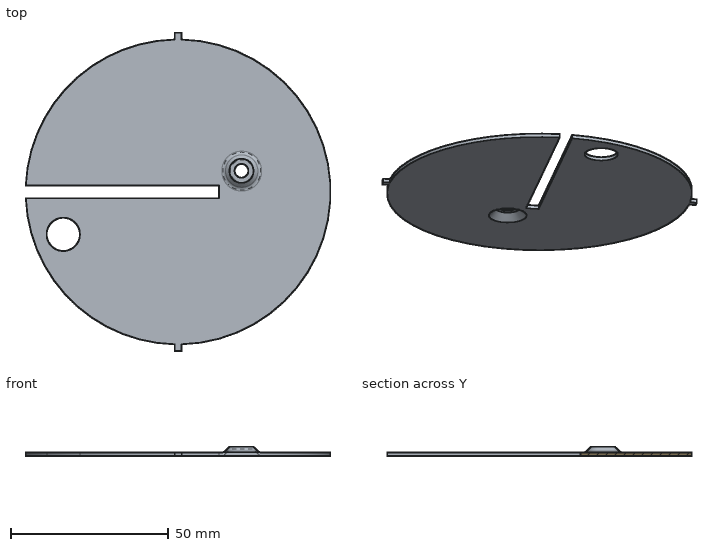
import cadquery as cq
import math

disc_radius = 48.5
plate_thickness = 1.2
overall_height = 3.0

tab_width = 2.2
tab_span = 101.3

slot_width = 4.0
slot_end_x = 13.0

round_hole_diameter = 10.5
round_hole_center = (-36.5, -13.5)

boss_center = (20.15, 6.7)
boss_top_radius = 3.85
boss_hole_diameter = 4.3
boss_foot_radius = 6.35
boss_flank_angle = math.radians(45)
boss_wall = 0.6
flank_base_radius = boss_top_radius + (overall_height - plate_thickness) / math.tan(boss_flank_angle)
flare_radius = (boss_foot_radius - flank_base_radius) / math.tan(boss_flank_angle / 2)


def make_plate():
    disc = cq.Workplane("XY").circle(disc_radius).extrude(plate_thickness)
    tabs = cq.Workplane("XY").rect(tab_width, tab_span).extrude(plate_thickness)
    return disc.union(tabs)


def revolve_about_boss_axis(profile):
    return (
        profile.close()
        .revolve(360, (0, 0, 0), (0, 1, 0))
        .translate((*boss_center, 0))
    )


def make_boss():
    """Revolved cone whose foot runs into the plate through a tangent arc."""
    flare_end = (
        boss_foot_radius - flare_radius * math.sin(boss_flank_angle),
        plate_thickness + flare_radius * (1 - math.cos(boss_flank_angle)),
    )
    flare_middle = (
        boss_foot_radius - flare_radius * math.sin(boss_flank_angle / 2),
        plate_thickness + flare_radius * (1 - math.cos(boss_flank_angle / 2)),
    )
    profile = (
        cq.Workplane("XZ")
        .lineTo(0, overall_height)
        .lineTo(boss_top_radius, overall_height)
        .lineTo(*flare_end)
        .threePointArc(flare_middle, (boss_foot_radius, plate_thickness))
        .lineTo(boss_foot_radius, 0)
    )
    return revolve_about_boss_axis(profile)


def make_boss_cavity():
    """Conical hollow under the boss, parallel to the flank one wall thickness inside it."""
    ceiling_z = overall_height - boss_wall
    ceiling_radius = boss_top_radius - boss_wall * math.tan(boss_flank_angle / 2)
    mouth_radius = ceiling_radius + ceiling_z / math.tan(boss_flank_angle)
    profile = (
        cq.Workplane("XZ")
        .lineTo(0, ceiling_z)
        .lineTo(ceiling_radius, ceiling_z)
        .lineTo(mouth_radius, 0)
    )
    return revolve_about_boss_axis(profile)


def make_slot():
    slot_length = disc_radius + slot_end_x
    return (
        cq.Workplane("XY")
        .center(slot_end_x - slot_length / 2, 0)
        .rect(slot_length, slot_width)
        .extrude(plate_thickness)
    )


def make_hole(center, diameter):
    return cq.Workplane("XY").center(*center).circle(diameter / 2).extrude(overall_height)


result = (
    make_plate()
    .union(make_boss())
    .cut(make_boss_cavity())
    .cut(make_slot())
    .cut(make_hole(round_hole_center, round_hole_diameter))
    .cut(make_hole(boss_center, boss_hole_diameter))
)